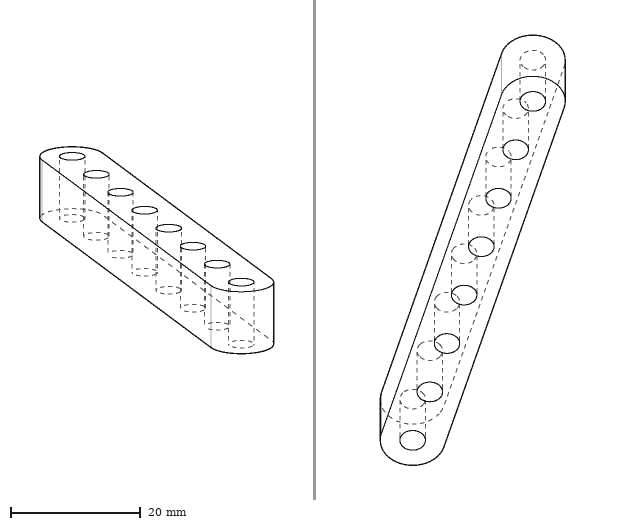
import cadquery as cq

length = 80.0
hole_count = 8
hole_diameter = 3.9

pitch = length / hole_count
width = pitch
height = pitch

bar = cq.Workplane("XY").slot2D(length, width).extrude(height)

result = (
    bar.faces(">Z")
    .workplane(centerOption="CenterOfBoundBox")
    .rarray(pitch, pitch, hole_count, 1)
    .hole(hole_diameter)
)